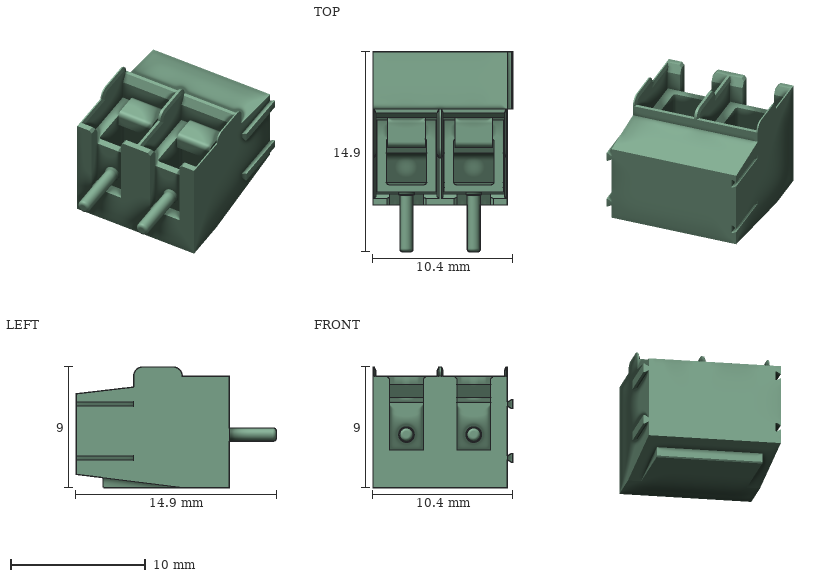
import cadquery as cq
import math


pitch = 5.0
pole_count = 2
pole_centers = [pitch * (index + 0.5) for index in range(pole_count)]

housing_width = pitch * pole_count
housing_length = 11.4
wall_top = 8.3
shoulder_y = 7.13
roof_low_z = 7.0
roof_high_z = 7.5
underside_rise = 1.0
underside_slope_start_y = 3.35

rib_inset = 1.0
rib_end_y = 9.41
rib_chamfer = 0.1

side_wall = 0.22
pocket_width = pitch - 2 * side_wall
pocket_front_y = 0.83
pocket_back_y = 6.49
flare_depth = 0.62
flare_width = 0.36
lip_depth = 0.28
lip_width = 0.12
mouth_front_y = pocket_front_y - flare_width
mouth_back_y = pocket_back_y + flare_width

ledge_z = 2.3
trough_depth = 0.58
trough_z = ledge_z - trough_depth
ledge_front_y = 3.88
rim_back_y = 1.3
trough_front_y = 1.69
rim_z = trough_z + trough_front_y - rim_back_y

slot_width = 2.52
slot_floor_z = 2.8
slot_chamfer = 0.2

tab_top = 9.0
tab_front_y = 3.5
tab_radius = tab_top - wall_top
tab_foot_z = wall_top - flare_depth
lip_taper = math.degrees(math.atan2(lip_depth, lip_width))

rail_heights = [2.23, 6.23]
rail_neck = 0.3
rail_head = 0.66
rail_depth = 0.4
rail_flat = 0.1
rail_length = housing_length - shoulder_y

cage_width = 4.4
cage_front_y = 0.95
cage_back_y = 6.3
cage_top = 6.34
window_width = 3.0
window_front_y = 1.5
window_back_y = 4.94
window_radius = 0.22

tongue_width = 2.82
tongue_front_y = 4.26
tongue_top = 6.73
tongue_bottom = 5.56
tongue_radius = 0.4

pin_z = 3.96
pin_radius = 0.5
pin_tip_y = -3.5
pin_tip_fillet = 0.25
collar_radius = 0.58
collar_chamfer = collar_radius - pin_radius
collar_front_y = 0.7


def box(x_range, y_range, z_range):
    """Box between the given lower and upper limits."""
    size = [high - low for low, high in (x_range, y_range, z_range)]
    corner = (x_range[0], y_range[0], z_range[0])
    return cq.Workplane("XY").box(*size, centered=False).translate(corner)


def centered_range(center, width):
    """Lower and upper limit of a width centred on a position."""
    return (center - width / 2, center + width / 2)


def side_profile(x):
    """Workplane at the given x whose local axes are y and z."""
    return cq.Workplane("YZ").workplane(offset=x)


def housing_body():
    """Outer shape up to the wall tops, with the rib under the sloping underside."""
    body = (
        side_profile(0)
        .moveTo(0, 0)
        .lineTo(underside_slope_start_y, 0)
        .lineTo(housing_length, underside_rise)
        .lineTo(housing_length, roof_low_z)
        .lineTo(shoulder_y, roof_high_z)
        .lineTo(shoulder_y, wall_top)
        .lineTo(0, wall_top)
        .close()
        .extrude(housing_width)
    )
    rib = box(
        (rib_inset, housing_width - rib_inset),
        (underside_slope_start_y, rib_end_y),
        (0, underside_rise),
    )
    rib = rib.edges(">Y and <Z").chamfer(rib_chamfer)
    return body.union(rib)


def pocket(center):
    """Cutter for one pocket: stepped floor, straight walls and a mouth flared on all four sides."""
    mouth_width = pocket_width + 2 * lip_width
    lengthwise = (
        side_profile(center - mouth_width / 2)
        .moveTo(mouth_front_y, wall_top)
        .lineTo(pocket_front_y, wall_top - flare_depth)
        .lineTo(pocket_front_y, rim_z)
        .lineTo(rim_back_y, rim_z)
        .lineTo(trough_front_y, trough_z)
        .lineTo(ledge_front_y - trough_depth, trough_z)
        .radiusArc((ledge_front_y, ledge_z), -trough_depth)
        .lineTo(pocket_back_y, ledge_z)
        .lineTo(pocket_back_y, wall_top - flare_depth)
        .lineTo(mouth_back_y, wall_top)
        .close()
        .extrude(mouth_width)
    )
    crosswise = (
        cq.Workplane("XZ")
        .moveTo(center - pocket_width / 2, 0)
        .lineTo(center + pocket_width / 2, 0)
        .lineTo(center + pocket_width / 2, wall_top - lip_depth)
        .lineTo(center + mouth_width / 2, wall_top)
        .lineTo(center - mouth_width / 2, wall_top)
        .lineTo(center - pocket_width / 2, wall_top - lip_depth)
        .close()
        .extrude(-housing_length)
    )
    return lengthwise.intersect(crosswise)


def front_slot(center):
    """Cutter for the slot in the front wall, with chamfered top edges."""
    half = slot_width / 2
    return (
        cq.Workplane("XZ")
        .moveTo(center - half, slot_floor_z)
        .lineTo(center + half, slot_floor_z)
        .lineTo(center + half, wall_top - slot_chamfer)
        .lineTo(center + half + slot_chamfer, wall_top)
        .lineTo(center - half - slot_chamfer, wall_top)
        .lineTo(center - half, wall_top - slot_chamfer)
        .close()
        .extrude(-pocket_front_y)
    )


def tab_outline(x):
    """Tab outline with two rounded top corners, reaching down into the wall."""
    return (
        side_profile(x)
        .moveTo(tab_front_y, tab_foot_z)
        .lineTo(tab_front_y, wall_top)
        .radiusArc((tab_front_y + tab_radius, tab_top), tab_radius)
        .lineTo(shoulder_y - tab_radius, tab_top)
        .radiusArc((shoulder_y, wall_top), tab_radius)
        .lineTo(shoulder_y, tab_foot_z)
        .close()
    )


def tab(wall_x):
    """Tab on the wall at the given x, its edges bevelled on each side that faces a pocket."""
    core = side_wall - lip_width
    left = max(wall_x - core, 0)
    right = min(wall_x + core, housing_width)
    solid = tab_outline(left).extrude(right - left)
    if left > 0:
        solid = solid.union(tab_outline(left).extrude(-lip_width, taper=lip_taper))
    if right < housing_width:
        solid = solid.union(tab_outline(right).extrude(lip_width, taper=lip_taper))
    return solid


def dovetail(x, z):
    """Dovetail bar along y, its neck at the given x and its head toward +x."""
    flare_x = x + rail_depth - rail_flat
    head_x = x + rail_depth
    return (
        cq.Workplane("XZ", origin=(0, shoulder_y, 0))
        .moveTo(x, z - rail_neck / 2)
        .lineTo(flare_x, z - rail_head / 2)
        .lineTo(head_x, z - rail_head / 2)
        .lineTo(head_x, z + rail_head / 2)
        .lineTo(flare_x, z + rail_head / 2)
        .lineTo(x, z + rail_neck / 2)
        .close()
        .extrude(-rail_length)
    )


def make_housing():
    housing = housing_body()
    for center in pole_centers:
        housing = housing.cut(pocket(center)).cut(front_slot(center))
    for index in range(pole_count + 1):
        housing = housing.union(tab(index * pitch))
    for z in rail_heights:
        housing = housing.union(dovetail(housing_width, z)).cut(dovetail(0, z))
    return housing


def make_tongue(center):
    """Block on the back of the cage, rounded along its two top edges."""
    tongue = box(
        centered_range(center, tongue_width),
        (tongue_front_y, pocket_back_y),
        (tongue_bottom, tongue_top),
    )
    return tongue.edges("|X and >Z").fillet(tongue_radius)


def make_cage(center):
    """Frame standing on the pocket ledge, with a vertical window and a seat for the tongue."""
    frame = box(
        centered_range(center, cage_width),
        (cage_front_y, cage_back_y),
        (ledge_z, cage_top),
    )
    window = box(
        centered_range(center, window_width),
        (window_front_y, window_back_y),
        (ledge_z, cage_top),
    )
    window = window.edges("|Z").fillet(window_radius)
    return frame.cut(window).cut(make_tongue(center))


def make_pin(center):
    """Round pin with a bevelled collar against the cage and a rounded tip."""
    shaft_length = cage_front_y - pin_tip_y
    collar_length = cage_front_y - collar_front_y
    foot = cq.Workplane("XZ", origin=(center, cage_front_y, pin_z))
    shaft = foot.circle(pin_radius).extrude(shaft_length)
    shaft = shaft.faces("<Y").edges().fillet(pin_tip_fillet)
    collar = foot.circle(collar_radius).extrude(collar_length)
    collar = collar.faces("<Y").edges().chamfer(collar_chamfer)
    return shaft.union(collar)


housing = make_housing()
cages = [make_cage(center) for center in pole_centers]
tongues = [make_tongue(center) for center in pole_centers]
pins = [make_pin(center) for center in pole_centers]

bodies = [housing, *cages, *tongues, *pins]
result = cq.Compound.makeCompound([body.solids().val() for body in bodies])